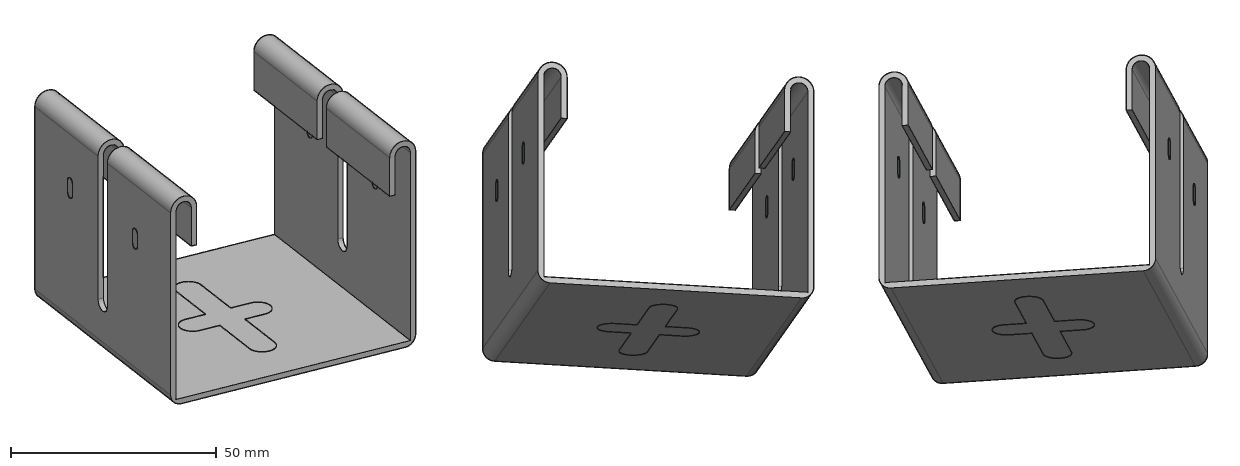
import cadquery as cq

length_x = 67.0
overall_y = 68.7
overall_z = 56.2

pad_proud = 0.1
sheet = 1.5
corner_radius = 3.0
hook_radius = 3.65
hook_drop = 14.1

slot_width = 4.5
slot_depth = 44.65

wall_pad_width = 2.5
wall_pad_height = 5.5
wall_pad_spacing = 32.0
wall_pad_drop = 18.15

cross_length_x = 43.3
cross_length_y = 25.2
cross_width = 7.0

outer_y = overall_y / 2 - pad_proud
top_z = overall_z - pad_proud
inner_y = outer_y - sheet
hook_center_y = outer_y - hook_radius
hook_center_z = top_z - hook_radius
hook_inner_radius = hook_radius - sheet
hook_lip_y = outer_y - 2 * hook_radius
hook_end_z = top_z - hook_drop
pad_thickness = sheet + 2 * pad_proud


def half_channel():
    """Half floor, wall and inward hook on the +Y side, extruded along X."""
    return (
        cq.Workplane("YZ")
        .moveTo(0, 0)
        .lineTo(outer_y - corner_radius, 0)
        .radiusArc((outer_y, corner_radius), -corner_radius)
        .lineTo(outer_y, hook_center_z)
        .threePointArc((hook_center_y, top_z), (hook_lip_y, hook_center_z))
        .lineTo(hook_lip_y, hook_end_z)
        .lineTo(hook_lip_y + sheet, hook_end_z)
        .lineTo(hook_lip_y + sheet, hook_center_z)
        .threePointArc((hook_center_y, hook_center_z + hook_inner_radius), (inner_y, hook_center_z))
        .lineTo(inner_y, sheet)
        .lineTo(0, sheet)
        .close()
        .extrude(length_x / 2, both=True)
    )


def wall_slot():
    """Round-bottomed cutter passing through both walls and hooks."""
    bottom_center_z = top_z - slot_depth + slot_width / 2
    return (
        cq.Workplane("XZ")
        .moveTo(-slot_width / 2, top_z)
        .lineTo(-slot_width / 2, bottom_center_z)
        .threePointArc((0, top_z - slot_depth), (slot_width / 2, bottom_center_z))
        .lineTo(slot_width / 2, top_z)
        .close()
        .extrude(outer_y, both=True)
    )


def wall_pads(wall_side):
    """Two upright oblong pads, proud of both faces of one wall."""
    wall_center_y = wall_side * (outer_y - sheet / 2)
    return (
        cq.Workplane("XZ", origin=(0, wall_center_y, top_z - wall_pad_drop))
        .pushPoints([(-wall_pad_spacing / 2, 0), (wall_pad_spacing / 2, 0)])
        .slot2D(wall_pad_height, wall_pad_width, 90)
        .extrude(pad_thickness / 2, both=True)
    )


def floor_cross():
    """Two crossed oblong pads, proud of both faces of the floor."""
    base = cq.Workplane("XY", origin=(0, 0, -pad_proud))
    arm_x = base.slot2D(cross_length_x, cross_width).extrude(pad_thickness)
    arm_y = base.slot2D(cross_length_y, cross_width, 90).extrude(pad_thickness)
    return arm_x.union(arm_y)


half = half_channel()
channel = half.union(half.mirror("XZ")).cut(wall_slot())
for side in (-1, 1):
    channel = channel.union(wall_pads(side))
result = channel.union(floor_cross())